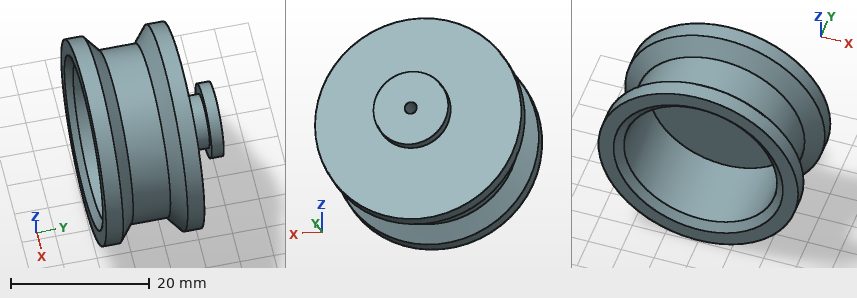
import cadquery as cq

flange_radius = 15.2
groove_radius = 12.8
mouth_radius = 12.9
bore_radius = 11.65
stem_radius = 3.98
head_radius = 5.5
hole_radius = 0.88

flange_width = 2.5
groove_slope_width = 2.0
groove_floor_width = 5.5
stem_length = 3.2
head_thickness = 1.8
mouth_depth = 1.0
bore_depth = 12.1

front_slope_end = flange_width + groove_slope_width
rear_slope_start = front_slope_end + groove_floor_width
rear_flange_start = rear_slope_start + groove_slope_width
body_back = rear_flange_start + flange_width
head_start = body_back + stem_length
part_back = head_start + head_thickness

half_section = [
    (hole_radius, part_back),
    (hole_radius, bore_depth),
    (bore_radius, bore_depth),
    (bore_radius, mouth_depth),
    (mouth_radius, 0),
    (flange_radius, 0),
    (flange_radius, flange_width),
    (groove_radius, front_slope_end),
    (groove_radius, rear_slope_start),
    (flange_radius, rear_flange_start),
    (flange_radius, body_back),
    (stem_radius, body_back),
    (stem_radius, head_start),
    (head_radius, head_start),
    (head_radius, part_back),
]

result = cq.Workplane("XY").polyline(half_section).close().revolve(360, (0, 0), (0, 1))